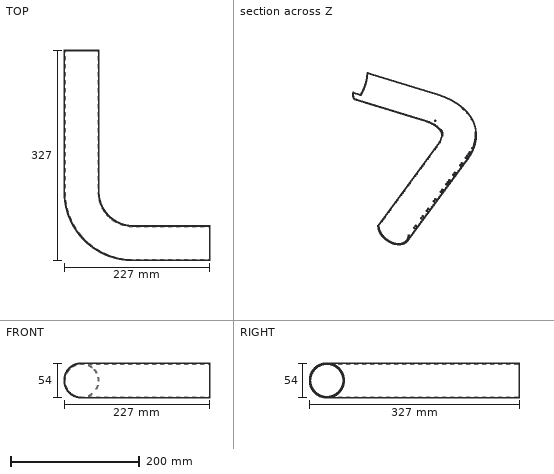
import cadquery as cq

outer_diameter = 54.0
inner_diameter = 51.0
bend_radius = 80.0

x_leg_length = 200.0
y_leg_length = 300.0


def centreline():
    """Path from the open end on +X, around the bend, to the open end on +Y."""
    return (
        cq.Workplane("XY")
        .moveTo(x_leg_length, 0)
        .lineTo(bend_radius, 0)
        .radiusArc((0, bend_radius), bend_radius)
        .lineTo(0, y_leg_length)
    )


def bent_tube():
    """Annular section swept along the centreline, open at both ends."""
    section = (
        cq.Workplane("YZ", origin=(x_leg_length, 0, 0))
        .circle(outer_diameter / 2)
        .circle(inner_diameter / 2)
    )
    return section.sweep(centreline())


result = bent_tube()